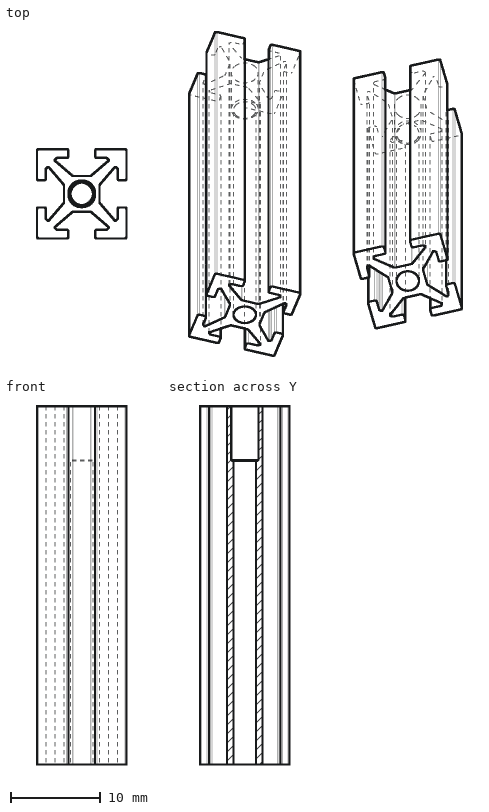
import cadquery as cq
import math

side = 10.0
length = 40.0
edge_radius = 0.2

slot_opening = 3.0
lip_thickness = 1.0
core_width = 4.0
slot_floor_width = 2.0
slot_width = 6.08
slot_corner_chamfer = 0.25
slot_inner_radius = 0.1

bore_diameter = 2.5
upper_bore_diameter = 3.0
upper_bore_depth = 6.0
bore_step_angle = 118.0
bore_step_height = (upper_bore_diameter - bore_diameter) / 2 / math.tan(math.radians(bore_step_angle / 2))


def make_slot_cutter():
    """T-slot void on the +Y side, running the full length of the bar."""
    outer_y = side / 2
    lip_y = outer_y - lip_thickness
    half_profile = [
        (slot_floor_width / 2, core_width / 2),
        (slot_width / 2, lip_y - slot_corner_chamfer),
        (slot_width / 2 - slot_corner_chamfer, lip_y),
        (slot_opening / 2, lip_y),
        (slot_opening / 2, outer_y),
    ]
    mirrored_half = [(-x, y) for x, y in reversed(half_profile)]
    return cq.Workplane("XY").polyline(half_profile + mirrored_half).close().extrude(length)


def is_outer_edge(edge):
    """True for the bar corners and for both edges of every slot lip."""
    center = edge.Center()
    near = min(abs(center.x), abs(center.y))
    far = max(abs(center.x), abs(center.y))
    on_side = math.isclose(far, side / 2)
    on_opening = math.isclose(near, slot_opening / 2)
    return on_side or on_opening


def make_slotted_bar():
    """Square bar with a T-slot on each side, all lengthwise edges rounded."""
    bar = cq.Workplane("XY").rect(side, side).extrude(length)
    cutter = make_slot_cutter()
    for quarter_turn in range(4):
        bar = bar.cut(cutter.rotate((0, 0, 0), (0, 0, 1), 90 * quarter_turn))
    bar = bar.edges("|Z").filter(lambda edge: not is_outer_edge(edge)).fillet(slot_inner_radius)
    return bar.edges("|Z").filter(is_outer_edge).fillet(edge_radius)


def make_bore():
    """Bore void: a half section turned about the Z axis."""
    step_top = length - upper_bore_depth
    half_section = [
        (0, 0),
        (bore_diameter / 2, 0),
        (bore_diameter / 2, step_top - bore_step_height),
        (upper_bore_diameter / 2, step_top),
        (upper_bore_diameter / 2, length),
        (0, length),
    ]
    return cq.Workplane("XZ").polyline(half_section).close().revolve()


result = make_slotted_bar().cut(make_bore())